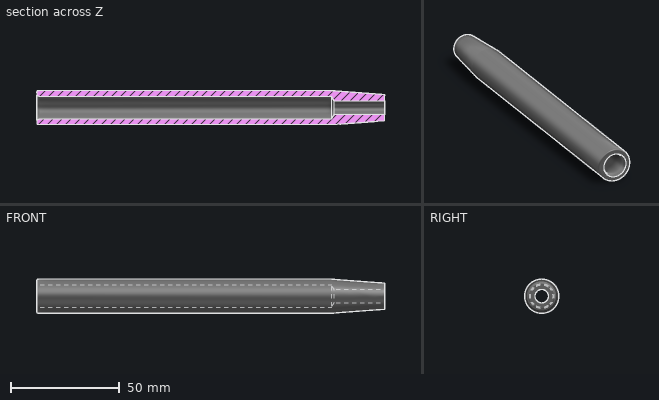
import cadquery as cq
import math

length = 160.0
body_radius = 15.8 / 2
end_fillet = 1.0

nose_length = 24.6
nose_tip_radius = 12.2 / 2
tip_fillet = 0.5

bore_radius = 6.0 / 2
socket_radius = 10.2 / 2
mouth_flare = 0.5
mouth_flare_length = 1.5
socket_depth = length - nose_length
drill_point_angle = 118.0
socket_cone_length = (socket_radius - bore_radius) / math.tan(math.radians(drill_point_angle / 2))

x_back = -length / 2
x_tip = length / 2
x_shoulder = x_tip - nose_length


def revolve_profile(points):
    """Revolve a closed (x, radius) outline about the X axis."""
    return cq.Workplane("XY").polyline(points).close().revolve(360, (0, 0, 0), (1, 0, 0))


def make_body():
    body = revolve_profile([
        (x_back, 0),
        (x_back, body_radius),
        (x_shoulder, body_radius),
        (x_tip, nose_tip_radius),
        (x_tip, 0),
    ])
    body = body.faces("<X").edges().fillet(end_fillet)
    return body.faces(">X").edges().fillet(tip_fillet)


def make_bore():
    """Flared mouth, straight socket, conical bottom and through bore."""
    x_socket_end = x_back + socket_depth
    return revolve_profile([
        (x_back, 0),
        (x_back, socket_radius + mouth_flare),
        (x_back + mouth_flare_length, socket_radius),
        (x_socket_end, socket_radius),
        (x_socket_end + socket_cone_length, bore_radius),
        (x_tip, bore_radius),
        (x_tip, 0),
    ])


result = make_body().cut(make_bore())